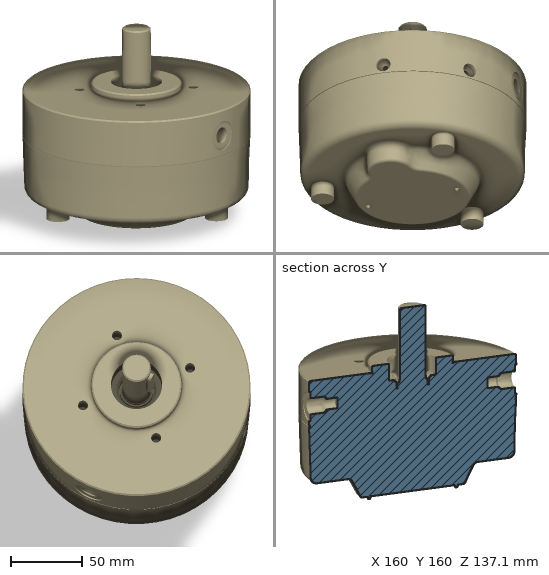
import cadquery as cq
import math


housing_radius = 80.0
flange_bottom_z = -33.0
joint_gap = 0.7
joint_depth = 0.6
cover_bottom_z = -76.0
cover_bottom_radius = 78.6
cover_corner_fillet = 5.0
housing_chamfer = 1.0

spigot_radius = 31.5
spigot_height = 5.0
spigot_chamfer = 1.0
relief_radius = 32.2
relief_neck_radius = 31.0
relief_half_height = 0.5

shaft_radius = 10.0
shaft_top_z = 44.6
shaft_chamfer = 1.0
shaft_collar_radius = 10.5
sleeve_radius = 11.7
sleeve_top_z = -9.5
key_width = 6.0
key_length = 32.0
key_bottom_z = 8.3
key_top_y = 12.2
key_seat_y = 6.5

bore_radius = 18.0
bore_floor_z = -7.4
seal_recess_radius = 14.5
seal_recess_depth = 0.4
seal_mouth_radius = 14.0
seal_radius = 12.4
seal_floor_z = -14.0

mount_hole_circle_diameter = 80.0
mount_hole_count = 4
mount_hole_first_angle = 45.0
mount_hole_diameter = 7.0
mount_hole_depth = 15.0
drill_tip_angle = 118.0

port_z = -18.8
port_face_diameter = 21.0
port_face_depth = 1.0
port_thread_diameter = 11.5
port_thread_depth = 12.0
port_drill_diameter = 7.5
port_drill_depth = 22.0

side_hole_angles = (142.5, 97.5)
side_hole_z = -26.8
side_hole_diameter = 10.2
side_hole_depth = 4.2
side_seat_diameter = 8.0
side_seat_depth = 5.4
side_drill_diameter = 4.0
side_drill_depth = 12.0

cap_bottom_z = -90.8
cap_top_radius = 48.0
cap_bottom_radius = 40.0
lobe_centre_y = 41.0
lobe_radius = 16.0
lobe_draft_angle = 2.0
lobe_blend_radius = 8.0
cap_root_fillet = 2.6
cap_edge_fillet = 2.0
foot_count = 3
foot_first_angle = 11.8
foot_circle_radius = 64.2
foot_diameter = 16.1
foot_bottom_z = -85.6
tip_x = 33.6
tip_base_radius = 1.6
tip_end_radius = 0.6
tip_height = 1.7

fusing_overlap = 2.0


def make_housing():
    """Flange, joint groove, cover, spigot and shaft bore, turned about Z."""
    cover_top_z = flange_bottom_z - joint_gap
    seal_mouth_z = bore_floor_z - seal_recess_depth
    housing = (
        cq.Workplane("XZ")
        .moveTo(0, cover_bottom_z)
        .lineTo(cover_bottom_radius, cover_bottom_z)
        .lineTo(housing_radius, cover_top_z)
        .lineTo(housing_radius - joint_depth, cover_top_z)
        .lineTo(housing_radius - joint_depth, flange_bottom_z)
        .lineTo(housing_radius, flange_bottom_z)
        .lineTo(housing_radius, -housing_chamfer)
        .lineTo(housing_radius - housing_chamfer, 0)
        .lineTo(relief_radius, 0)
        .lineTo(relief_radius, -relief_half_height)
        .lineTo(relief_neck_radius, -relief_half_height)
        .lineTo(relief_neck_radius, relief_half_height)
        .lineTo(spigot_radius, relief_half_height)
        .lineTo(spigot_radius, spigot_height - spigot_chamfer)
        .lineTo(spigot_radius - spigot_chamfer, spigot_height)
        .lineTo(bore_radius, spigot_height)
        .lineTo(bore_radius, bore_floor_z)
        .lineTo(seal_recess_radius, bore_floor_z)
        .lineTo(seal_recess_radius, seal_mouth_z)
        .lineTo(seal_mouth_radius, seal_mouth_z)
        .lineTo(seal_radius, seal_mouth_z - (seal_mouth_radius - seal_radius))
        .lineTo(seal_radius, seal_floor_z)
        .lineTo(0, seal_floor_z)
        .close()
        .revolve(360, (0, 0, 0), (0, 1, 0))
    )
    return housing.faces("<Z").edges().fillet(cover_corner_fillet)


def make_shaft():
    """Shaft that flares to a collar and steps to a sleeve inside the seal, with a round-ended key on +Y."""
    flare_top_z = bore_floor_z
    flare_bottom_z = flare_top_z - (shaft_collar_radius - shaft_radius)
    shaft = (
        cq.Workplane("XZ")
        .moveTo(0, seal_floor_z - fusing_overlap)
        .lineTo(sleeve_radius, seal_floor_z - fusing_overlap)
        .lineTo(sleeve_radius, sleeve_top_z)
        .lineTo(shaft_collar_radius, sleeve_top_z)
        .lineTo(shaft_collar_radius, flare_bottom_z)
        .lineTo(shaft_radius, flare_top_z)
        .lineTo(shaft_radius, shaft_top_z - shaft_chamfer)
        .lineTo(shaft_radius - shaft_chamfer, shaft_top_z)
        .lineTo(0, shaft_top_z)
        .close()
        .revolve(360, (0, 0, 0), (0, 1, 0))
    )
    key = (
        cq.Workplane("XZ", origin=(0, key_seat_y, key_bottom_z + key_length / 2))
        .slot2D(key_length, key_width, 90)
        .extrude(key_seat_y - key_top_y)
    )
    return shaft.union(key)


def make_cap():
    """Conical cap blended into a drafted, round-ended lobe."""
    cap_height = cover_bottom_z - cap_bottom_z
    cone = cq.Workplane(
        cq.Solid.makeCone(cap_bottom_radius, cap_top_radius, cap_height, cq.Vector(0, 0, cap_bottom_z))
    )
    lobe = (
        cq.Workplane("XY", origin=(0, 0, cap_bottom_z))
        .moveTo(-lobe_radius, 0)
        .lineTo(lobe_radius, 0)
        .lineTo(lobe_radius, lobe_centre_y)
        .threePointArc((0, lobe_centre_y + lobe_radius), (-lobe_radius, lobe_centre_y))
        .close()
        .extrude(cap_height, taper=-lobe_draft_angle)
    )
    cap = cone.union(lobe)
    middle_z = (cover_bottom_z + cap_bottom_z) / 2
    corner_reach = lobe_radius + lobe_blend_radius
    corner_edges = cq.selectors.BoxSelector(
        (-corner_reach, cap_bottom_radius / 2, middle_z - cap_height / 4),
        (corner_reach, lobe_centre_y + lobe_radius / 3, middle_z + cap_height / 4),
    )
    cap = cap.edges(corner_edges).fillet(lobe_blend_radius)
    return cap.faces("<Z").edges().fillet(cap_edge_fillet)


def join_cap(housing, cap):
    """Join the cap to the cover and fillet the root between them."""
    reach = lobe_centre_y + lobe_radius + lobe_blend_radius
    root_edges = cq.selectors.BoxSelector(
        (-reach, -reach, cover_bottom_z - cap_edge_fillet),
        (reach, reach, cover_bottom_z + cap_edge_fillet),
        boundingbox=True,
    )
    return housing.union(cap).edges(root_edges).fillet(cap_root_fillet)


def make_feet():
    """Round feet spaced evenly under the cover."""
    return (
        cq.Workplane("XY", origin=(0, 0, foot_bottom_z))
        .polarArray(foot_circle_radius, foot_first_angle, 360, foot_count)
        .circle(foot_diameter / 2)
        .extrude(cover_bottom_z + fusing_overlap - foot_bottom_z)
    )


def make_tip(x):
    """Small blunt contact tip under the cap."""
    cone = cq.Solid.makeCone(
        tip_base_radius, tip_end_radius, tip_height, cq.Vector(x, 0, cap_bottom_z), cq.Vector(0, 0, -1)
    )
    return cq.Workplane(cone)


def outward_direction(angle):
    """Horizontal unit vector at an angle in degrees about +Z."""
    return cq.Vector(math.cos(math.radians(angle)), math.sin(math.radians(angle)), 0)


def radial_bore(angle, z, diameter, depth):
    """Cylinder reaching inwards from the housing wall."""
    outward = outward_direction(angle)
    start = outward * housing_radius + cq.Vector(0, 0, z)
    return cq.Workplane(cq.Solid.makeCylinder(diameter / 2, depth, start, outward * -1))


def radial_cone(angle, z, start_depth, start_diameter, end_diameter, length):
    """Cone narrowing inwards from a given depth below the housing wall."""
    outward = outward_direction(angle)
    start = outward * (housing_radius - start_depth) + cq.Vector(0, 0, z)
    cone = cq.Solid.makeCone(start_diameter / 2, end_diameter / 2, length, start, outward * -1)
    return cq.Workplane(cone)


def make_port(angle):
    """Spotface, threaded bore, cone and drilling of one pressure port."""
    cone_length = (port_thread_diameter - port_drill_diameter) / 2
    spotface = radial_bore(angle, port_z, port_face_diameter, port_face_depth)
    thread = radial_bore(angle, port_z, port_thread_diameter, port_thread_depth)
    cone = radial_cone(
        angle, port_z, port_thread_depth, port_thread_diameter, port_drill_diameter, cone_length
    )
    drill = radial_bore(angle, port_z, port_drill_diameter, port_drill_depth)
    return spotface.union(thread).union(cone).union(drill)


def make_side_hole(angle):
    """Shallow counterbore, conical seat and small drilling."""
    seat_length = side_seat_depth - side_hole_depth
    counterbore = radial_bore(angle, side_hole_z, side_hole_diameter, side_hole_depth)
    seat = radial_cone(
        angle, side_hole_z, side_hole_depth, side_hole_diameter, side_seat_diameter, seat_length
    )
    drill = radial_bore(angle, side_hole_z, side_drill_diameter, side_drill_depth)
    return counterbore.union(seat).union(drill)


def make_mount_holes():
    """Blind holes with drilled tips, on the diagonals of the mounting face."""
    radius = mount_hole_diameter / 2
    tip_depth = radius / math.tan(math.radians(drill_tip_angle / 2))
    profile = (
        cq.Workplane("XZ")
        .lineTo(radius, 0)
        .lineTo(radius, -mount_hole_depth)
        .lineTo(0, -mount_hole_depth - tip_depth)
        .close()
        .revolve(360, (0, 0, 0), (0, 1, 0))
    )
    return (
        cq.Workplane("XY")
        .polarArray(mount_hole_circle_diameter / 2, mount_hole_first_angle, 360, mount_hole_count)
        .eachpoint(profile.val(), combine=True)
    )


result = join_cap(make_housing(), make_cap())
result = result.union(make_feet())
for side in (-1, 1):
    result = result.union(make_tip(side * tip_x))
for port_angle in (0, 180):
    result = result.cut(make_port(port_angle))
for hole_angle in side_hole_angles:
    result = result.cut(make_side_hole(hole_angle))
result = result.cut(make_mount_holes())
result = result.union(make_shaft())